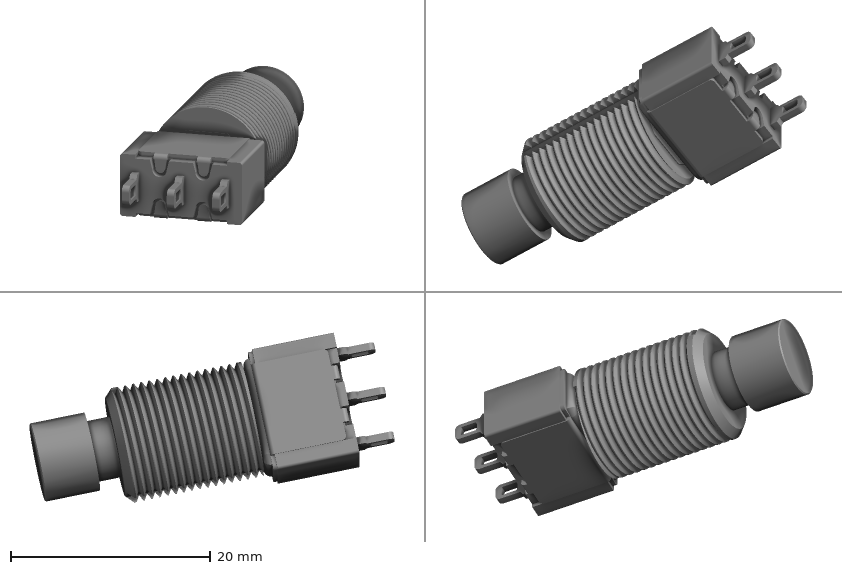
import cadquery as cq
import math


CAP_D = 8.0
CAP_TOP_Y = 22.05
CAP_LENGTH = 5.62
CAP_EDGE = 0.12
CAP_ROOF = 1.5
CAP_BOTTOM_Y = CAP_TOP_Y - CAP_LENGTH
PLUNGER_D = 6.2
PLUNGER_BOTTOM_Y = 2.0
PLUNGER_TOP_Y = CAP_TOP_Y - CAP_ROOF

THREAD_D = 11.7
THREAD_R = THREAD_D / 2
BUSHING_LENGTH = 14.07
BUSHING_CHAMFER = 0.8
PITCH = 0.82
CREST_FLAT = 0.1
GROOVE_ANGLE = 60.0
GROOVE_OVERSHOOT = 0.05
FULL_TURNS = 15
LAST_TURN_ANGLE = 340.0
KEYWAY_WIDTH = 1.78
KEYWAY_FLOOR_R = 5.1
BOSS_HEIGHT = 0.1
BOSS_HALF_WIDTH = 4.95
BOSS_FLAT_HALF = 2.2
BOSS_HALF_HEIGHT = 3.3

CASE_WIDTH = 12.7
CASE_HEIGHT = 6.5
CASE_FRONT_Y = -1.28
CASE_REAR_Y = -9.65
CASE_EDGE_R = 0.28

WEB_REAR_Y = -0.86
SHEET = 0.5
FRAME_HALF_HEIGHT = 3.35
ARM_INNER_Z = FRAME_HALF_HEIGHT - SHEET
ARM_WIDTH = 9.56
ARM_REAR_Y = CASE_REAR_Y + 0.97
ARM_CORNER_R = 0.45
WEB_WIDTH = 11.2
WEB_HALF_HEIGHT = 2.8
WEB_CORNER_RUN = 1.1
WEB_CORNER_DROP = 0.3
WEB_EDGE_R = 0.72
ARM_FRONT_R = 0.41
ARM_ROOT_Z = WEB_HALF_HEIGHT - SHEET

PLATE_WIDTH = 12.5
PLATE_HEIGHT = 5.7
PLATE_EDGE_R = 0.5

TAB_X = 2.25
TAB_BEND_WIDTH = 1.4
TAB_BEND_R = 0.49
TAB_FACE_Y = CASE_REAR_Y + 0.3
TAB_BACK_Y = TAB_FACE_Y + SHEET
TONGUE_TOP_HALF = 0.62
TONGUE_LOW_HALF = 0.5
TONGUE_TIP_Z = 1.45
POCKET_TOP_HALF = 1.0
POCKET_LOW_HALF = 0.75
POCKET_TIP_Z = 1.12

PIN_SPACING = 4.7
PIN_THICKNESS = 0.75
PIN_ROOT_HALF = 1.45
PIN_BLADE_HALF = 1.0
PIN_INNER_Y = CASE_REAR_Y + 3.0
PIN_SHOULDER_Y = CASE_REAR_Y - 0.8
PIN_NECK_Y = CASE_REAR_Y - 1.1
PIN_TIP_Y = -13.52
MIDDLE_PIN_EXTRA = 0.1
PIN_TIP_R = 0.6
EYE_FRONT_Y = -11.05
EYE_REAR_Y = -12.95
EYE_HALF_HEIGHT = 0.56
EYE_BULGE = 0.14


def box(x0, x1, y0, y1, z0, z1):
    """Axis-aligned box between two opposite corners."""
    return cq.Workplane("XY").box(x1 - x0, y1 - y0, z1 - z0, centered=False).translate((x0, y0, z0))


def y_block(width, height, y_front, y_rear):
    """Box centred on the Y axis."""
    return box(-width / 2, width / 2, y_rear, y_front, -height / 2, height / 2)


def y_cylinder(diameter, y_rear, y_front):
    """Cylinder about the Y axis."""
    return cq.Workplane("XZ", origin=(0, y_rear, 0)).circle(diameter / 2).extrude(y_rear - y_front)


def upper_and_lower(shape):
    """The shape together with its mirror image below the XY plane."""
    return [shape, shape.mirror("XY")]


def make_plunger():
    return y_cylinder(PLUNGER_D, PLUNGER_BOTTOM_Y, PLUNGER_TOP_Y)


def make_cap():
    cap = y_cylinder(CAP_D, CAP_BOTTOM_Y, CAP_TOP_Y).faces(">Y").chamfer(CAP_EDGE)
    return cap.cut(make_plunger())


def thread_groove():
    """Right-handed V groove about Z, begun at Z = 0 on the +X side."""
    half_angle = math.radians(GROOVE_ANGLE / 2)
    depth = (PITCH - CREST_FLAT) / 2 / math.tan(half_angle)
    outer_r = THREAD_R + GROOVE_OVERSHOOT
    outer_half = (depth + GROOVE_OVERSHOOT) * math.tan(half_angle)
    height = (FULL_TURNS + LAST_TURN_ANGLE / 360) * PITCH
    path = cq.Wire.makeHelix(PITCH, height, THREAD_R)
    profile = cq.Workplane("XZ").polyline(
        [(THREAD_R - depth, 0), (outer_r, outer_half), (outer_r, -outer_half)]
    ).close()
    return profile.sweep(cq.Workplane(path), isFrenet=True)


def make_bushing():
    bushing = cq.Workplane("XY").circle(THREAD_R).extrude(BUSHING_LENGTH)
    bushing = bushing.faces(">Z").chamfer(BUSHING_CHAMFER)
    bushing = bushing.cut(thread_groove())
    bushing = bushing.rotate((0, 0, 0), (1, 0, 0), -90)
    half_key = KEYWAY_WIDTH / 2
    keyway = box(-THREAD_D, -KEYWAY_FLOOR_R, 0, BUSHING_LENGTH, -half_key, half_key)
    bushing = bushing.cut(keyway)
    bore = y_cylinder(PLUNGER_D, PLUNGER_BOTTOM_Y, BUSHING_LENGTH)
    return bushing.cut(bore).union(rear_boss())


def rear_boss():
    """Thin six-sided pad on the rear face of the bushing."""
    outline = [
        (BOSS_HALF_WIDTH, 0),
        (BOSS_FLAT_HALF, BOSS_HALF_HEIGHT),
        (-BOSS_FLAT_HALF, BOSS_HALF_HEIGHT),
        (-BOSS_HALF_WIDTH, 0),
        (-BOSS_FLAT_HALF, -BOSS_HALF_HEIGHT),
        (BOSS_FLAT_HALF, -BOSS_HALF_HEIGHT),
    ]
    return cq.Workplane("XZ").polyline(outline).close().extrude(BOSS_HEIGHT)


def u_tongue(x, top_half, low_half, tip_z, y_rear, y_front):
    """Tapered tongue with a round lower end, reaching down from the underside of the arm."""
    shoulder_z = tip_z + low_half
    return (
        cq.Workplane("XZ", origin=(x, y_rear, 0))
        .moveTo(-top_half, ARM_INNER_Z)
        .lineTo(-low_half, shoulder_z)
        .threePointArc((0, tip_z), (low_half, shoulder_z))
        .lineTo(top_half, ARM_INNER_Z)
        .close()
        .extrude(y_rear - y_front)
    )


def tab(x):
    """Bent strip at the arm's rear end with its tongue folded into the case."""
    half = TAB_BEND_WIDTH / 2
    strip = box(x - half, x + half, TAB_FACE_Y, ARM_REAR_Y, ARM_INNER_Z, FRAME_HALF_HEIGHT)
    strip = strip.edges(">Z and <Y").fillet(TAB_BEND_R)
    return strip.union(
        u_tongue(x, TONGUE_TOP_HALF, TONGUE_LOW_HALF, TONGUE_TIP_Z, TAB_FACE_Y, TAB_BACK_Y)
    )


def arm():
    """Upper arm: rises behind the web, crosses over the front plate and runs along the case."""
    half = ARM_WIDTH / 2
    root = box(-half, half, CASE_FRONT_Y, WEB_REAR_Y, ARM_ROOT_Z, ARM_INNER_Z)
    strip = box(-half, half, ARM_REAR_Y, WEB_REAR_Y, ARM_INNER_Z, FRAME_HALF_HEIGHT)
    strip = strip.union(root)
    strip = strip.edges("|X and >Z and >Y").fillet(ARM_FRONT_R)
    strip = strip.edges("|Z and <Y").fillet(ARM_CORNER_R)
    for x in (-TAB_X, TAB_X):
        strip = strip.union(tab(x))
    return strip


def make_frame():
    """Web with bevelled corners and rounded front edges, joined to an upper and a lower arm."""
    side_x = WEB_WIDTH / 2
    shoulder_x = side_x - WEB_CORNER_RUN
    shoulder_z = WEB_HALF_HEIGHT - WEB_CORNER_DROP
    upper = [
        (side_x, shoulder_z),
        (shoulder_x, WEB_HALF_HEIGHT),
        (-shoulder_x, WEB_HALF_HEIGHT),
        (-side_x, shoulder_z),
    ]
    lower = [(-x, -z) for x, z in upper]
    web = cq.Workplane("XZ", origin=(0, -BOSS_HEIGHT, 0)).polyline(upper + lower).close()
    frame = web.extrude(-BOSS_HEIGHT - WEB_REAR_Y)
    frame = frame.faces(">Y").edges().fillet(WEB_EDGE_R)
    for half in upper_and_lower(arm()):
        frame = frame.union(half)
    return frame


def make_plate(frame):
    plate = y_block(PLATE_WIDTH, PLATE_HEIGHT, WEB_REAR_Y, CASE_FRONT_Y)
    plate = plate.edges("|Y").fillet(PLATE_EDGE_R)
    return plate.cut(frame)


def make_case(pins):
    case = y_block(CASE_WIDTH, CASE_HEIGHT, CASE_FRONT_Y, CASE_REAR_Y)
    case = case.edges("|Y").fillet(CASE_EDGE_R)
    half_arm = ARM_WIDTH / 2
    recess = box(-half_arm, half_arm, CASE_REAR_Y, CASE_FRONT_Y, ARM_INNER_Z, CASE_HEIGHT)
    cutters = upper_and_lower(recess)
    for x in (-TAB_X, TAB_X):
        pocket = u_tongue(x, POCKET_TOP_HALF, POCKET_LOW_HALF, POCKET_TIP_Z, CASE_REAR_Y, TAB_BACK_Y)
        cutters += upper_and_lower(pocket)
    for cutter in cutters + pins:
        case = case.cut(cutter)
    return case


def make_pin(x, tip_y):
    """Flat solder terminal with a shoulder, a rounded tip and an eye."""
    upper = [
        (PIN_INNER_Y, PIN_ROOT_HALF),
        (PIN_SHOULDER_Y, PIN_ROOT_HALF),
        (PIN_NECK_Y, PIN_BLADE_HALF),
        (tip_y, PIN_BLADE_HALF),
    ]
    lower = [(y, -z) for y, z in reversed(upper)]
    plane = cq.Workplane("YZ", origin=(x - PIN_THICKNESS / 2, 0, 0))
    pin = plane.polyline(upper + lower).close().extrude(PIN_THICKNESS)
    pin = pin.edges("|X and <Y").fillet(PIN_TIP_R)
    eye = (
        plane.moveTo(EYE_FRONT_Y - EYE_BULGE, EYE_HALF_HEIGHT)
        .threePointArc((EYE_FRONT_Y, 0), (EYE_FRONT_Y - EYE_BULGE, -EYE_HALF_HEIGHT))
        .lineTo(EYE_REAR_Y + EYE_BULGE, -EYE_HALF_HEIGHT)
        .threePointArc((EYE_REAR_Y, 0), (EYE_REAR_Y + EYE_BULGE, EYE_HALF_HEIGHT))
        .close()
        .extrude(PIN_THICKNESS)
    )
    return pin.cut(eye)


cap = make_cap()
plunger = make_plunger()
bushing = make_bushing()
frame = make_frame()
plate = make_plate(frame)

pins = []
for place in (-1, 0, 1):
    extra = MIDDLE_PIN_EXTRA if place == 0 else 0
    pins.append(make_pin(place * PIN_SPACING, PIN_TIP_Y - extra))
case = make_case(pins)

bodies = [cap, plunger, bushing, frame, plate, case] + pins
result = cq.Compound.makeCompound([body.solids().val() for body in bodies])